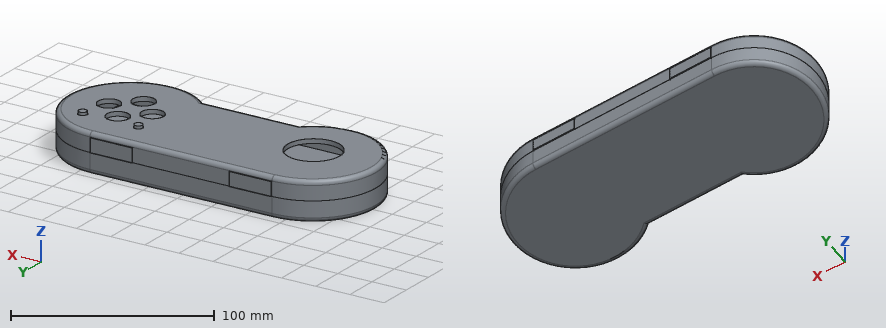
import cadquery as cq
import math

grip_radius = 36.8
grip_offset = 53.28
waist_half_length = 28.1
grip_reach = grip_offset - waist_half_length
waist_y = -math.sqrt(grip_radius**2 - grip_reach**2)

bottom_height = 11.5
top_height = 10.7
total_height = bottom_height + top_height
rim_fillet = 2.5
wall = 2.5
roof_underside = total_height - wall

board_thickness = 1.5
board_top = bottom_height + board_thickness
board_half_width = abs(waist_y) - wall
board_reach_past_grip_center = 20.0
board_half_length = grip_offset + board_reach_past_grip_center

pad_diameter = 30.0
pad_shift_x = 1.6
pad_y = -3.2
pad_center = (-grip_offset + pad_shift_x, pad_y)
face_hole_diameter = 12.5
face_hole_spacing_x = 12.75
face_hole_spacing_y = 11.7
face_hole_centers = [
    (grip_offset - face_hole_spacing_x, 0),
    (grip_offset + face_hole_spacing_x, 0),
    (grip_offset, -face_hole_spacing_y),
    (grip_offset, face_hole_spacing_y),
]

pin_diameter = 4.5
pin_hole_diameter = 5.0
pin_protrusion = 1.5
pin_spacing = 16.3
pin_y = 18.2
pin_centers = [(grip_offset - pin_spacing, pin_y), (grip_offset + pin_spacing, pin_y)]

shoulder_length = 24.6
shoulder_height = 8.0
shoulder_protrusion = 0.55
shoulder_inset = wall
shoulder_depth = shoulder_inset + shoulder_protrusion
shoulder_center_x = (grip_offset + waist_half_length) / 2


def housing_blank(base_z, height):
    """Plain slab with the housing outline."""
    return (
        cq.Workplane("XY", origin=(0, 0, base_z))
        .moveTo(-grip_offset, grip_radius)
        .lineTo(grip_offset, grip_radius)
        .threePointArc((grip_offset + grip_radius, 0), (waist_half_length, waist_y))
        .lineTo(-waist_half_length, waist_y)
        .threePointArc((-grip_offset - grip_radius, 0), (-grip_offset, grip_radius))
        .close()
        .extrude(height)
    )


def round_posts(centers, diameter, base_z, top_z):
    """Upright cylinders at the given centers."""
    return (
        cq.Workplane("XY", origin=(0, 0, base_z))
        .pushPoints(centers)
        .circle(diameter / 2)
        .extrude(top_z - base_z)
    )


def shoulder_block(side):
    """Shoulder button on one side (-1 left, 1 right), standing out slightly from the back edge."""
    return (
        cq.Workplane("XY")
        .box(shoulder_length, shoulder_depth, shoulder_height, centered=(True, False, False))
        .translate((side * shoulder_center_x, grip_radius - shoulder_inset, bottom_height))
    )


def board_area(height):
    """Rectangular block over the board's area, rising from the parting plane."""
    return (
        cq.Workplane("XY", origin=(0, 0, bottom_height))
        .rect(2 * board_half_length, 2 * board_half_width)
        .extrude(height)
    )


def make_bottom_shell():
    """Lower half of the housing, rounded along its underside."""
    return housing_blank(0, bottom_height).faces("<Z").edges().fillet(rim_fillet)


def make_top_shell():
    """Upper half of the housing, with the board cavity and the openings for the controls."""
    shell = housing_blank(bottom_height, top_height).faces(">Z").edges().fillet(rim_fillet)
    shell = shell.cut(board_area(roof_underside - bottom_height))
    shell = shell.cut(round_posts([pad_center], pad_diameter, roof_underside, total_height))
    shell = shell.cut(round_posts(face_hole_centers, face_hole_diameter, roof_underside, total_height))
    shell = shell.cut(round_posts(pin_centers, pin_hole_diameter, roof_underside, total_height))
    for side in (-1, 1):
        shell = shell.cut(shoulder_block(side))
    return shell


bottom_shell = make_bottom_shell()
top_shell = make_top_shell()
board = board_area(board_thickness)
pins = round_posts(pin_centers, pin_diameter, board_top, total_height + pin_protrusion)
shoulder_buttons = [shoulder_block(side) for side in (-1, 1)]

result = cq.Compound.makeCompound(
    [
        bottom_shell.val(),
        top_shell.val(),
        board.val(),
        *pins.vals(),
        *[button.val() for button in shoulder_buttons],
    ]
)